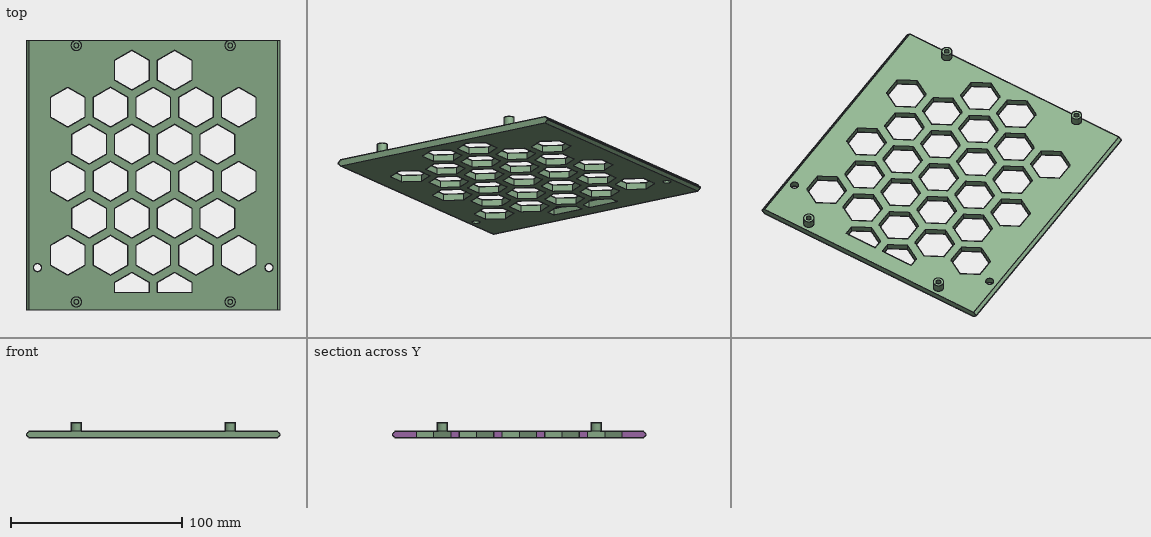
import cadquery as cq
import math

plate_width = 148.5
plate_length = 157.8
plate_thickness = 4.0
bevel_size = 1.7

hexagon_flats = 20.0
hexagon_corners = hexagon_flats / math.cos(math.pi / 6)
row_counts = [2, 5, 4, 5, 4, 5, 2]
honeycomb_span = 129.9
row_pitch = honeycomb_span / (len(row_counts) - 1)
hexagon_pitch = row_pitch / math.sin(math.pi / 3)
honeycomb_centre_y = -3.5
honeycomb_bottom_y = -68.5

post_diameter = 6.0
post_height = 5.0
post_bore = 2.8
post_x = 45.0
rear_post_y = plate_length / 2 - post_diameter / 2
front_post_y = -74.0

mount_hole_diameter = 4.5
mount_hole_x = 67.7
mount_hole_y = -54.0


def make_plate():
    """Plate with both edges of its left and right sides bevelled."""
    return (
        cq.Workplane("XY")
        .box(plate_width, plate_length, plate_thickness, centered=(True, True, False))
        .edges("|Y")
        .chamfer(bevel_size)
    )


def make_honeycomb():
    """Cutter for all hexagons, with the bottom row cut off straight."""
    centres = []
    middle_row = (len(row_counts) - 1) / 2
    for row, count in enumerate(row_counts):
        y = honeycomb_centre_y + (row - middle_row) * row_pitch
        for column in range(count):
            x = (column - (count - 1) / 2) * hexagon_pitch
            centres.append((x, y))
    hexagons = (
        cq.Workplane("XY")
        .transformed(rotate=(0, 0, 90))
        .pushPoints([(y, -x) for x, y in centres])
        .polygon(6, hexagon_corners)
        .extrude(plate_thickness)
    )
    kept_area = (
        cq.Workplane("XY")
        .center(0, honeycomb_bottom_y)
        .rect(plate_width, plate_length, centered=(True, False))
        .extrude(plate_thickness)
    )
    return hexagons.intersect(kept_area)


post_centres = [(x, y) for x in (-post_x, post_x) for y in (front_post_y, rear_post_y)]
mount_hole_centres = [(x, mount_hole_y) for x in (-mount_hole_x, mount_hole_x)]

posts = (
    cq.Workplane("XY")
    .workplane(offset=plate_thickness)
    .pushPoints(post_centres)
    .circle(post_diameter / 2)
    .circle(post_bore / 2)
    .extrude(post_height)
)
mount_holes = (
    cq.Workplane("XY")
    .pushPoints(mount_hole_centres)
    .circle(mount_hole_diameter / 2)
    .extrude(plate_thickness)
)

result = make_plate().cut(make_honeycomb()).cut(mount_holes).union(posts)